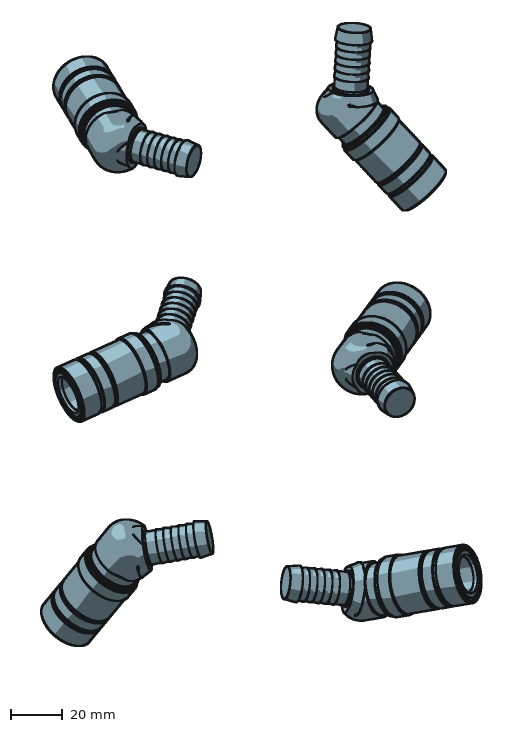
import cadquery as cq
import math

body_diameter = 23.0
body_end = 35.35
face_chamfer = 0.4

collar_diameter = 24.0
collar_start = 28.1
collar_end = 33.8
collar_chamfer = 0.35

groove_diameter = 22.4
groove_spans = [(8.05, 9.7), (14.25, 15.6)]
groove_wall_slope = 0.3

face_groove_inner_diameter = 18.8
face_groove_outer_diameter = 21.0
face_groove_depth = 1.1
rim_bevel = 0.3
bore_diameter = 14.1
bore_mouth_diameter = 15.25
bore_mouth_length = 1.45
bore_depth = 21.6

neck_diameter = 20.5
elbow_diameter = 22.25
elbow_start = 39.6
elbow_end = 54.85
elbow_end_radius = 7.05
flat_height = 21.0
flat_edge_radius = 2.9

branch_angle = 45.0
branch_origin_x = 43.7
flange_diameter = 17.5
flange_position = 8.7
flange_half_angle = 28.0
flange_depth = 3.95
step_diameter = 14.1
step_height = 0.8
step_edge_radius = 0.4
hose_diameter = 13.0
branch_length = 33.7

barb_diameter = 13.5
barb_pitch = 3.0
barb_count = 5
barb_length = 1.5
end_barb_diameter = 14.5
end_barb_length = 4.9
end_diameter = 12.9
end_chamfer = 0.15


def cylinder_x(diameter, start, end):
    """Cylinder centred on the X axis between two X positions."""
    return cq.Workplane("YZ", origin=(start, 0, 0)).circle(diameter / 2).extrude(end - start)


def cone_x(start_diameter, end_diameter, start, length):
    """Solid cone frustum centred on the X axis."""
    cone = cq.Solid.makeCone(
        start_diameter / 2, end_diameter / 2, length, cq.Vector(start, 0, 0), cq.Vector(1, 0, 0)
    )
    return cq.Workplane(cone)


def make_groove(start, end):
    """Ring cutter with sloped walls for a shallow groove in the body."""
    outer = body_diameter / 2
    inner = groove_diameter / 2
    profile = [
        (start, outer),
        (start + groove_wall_slope, inner),
        (end - groove_wall_slope, inner),
        (end, outer),
    ]
    return cq.Workplane("XY").polyline(profile).close().revolve(360, (0, 0, 0), (1, 0, 0))


def make_body():
    body = cylinder_x(body_diameter, 0, body_end).faces("<X or >X").chamfer(face_chamfer)
    for start, end in groove_spans:
        body = body.cut(make_groove(start, end))
    collar = cylinder_x(collar_diameter, collar_start, collar_end).edges().chamfer(collar_chamfer)
    return body.union(collar)


def cut_open_end(part):
    face_groove = cylinder_x(face_groove_outer_diameter, 0, face_groove_depth)
    bevel_diameter = face_groove_outer_diameter + 2 * rim_bevel
    face_groove = face_groove.union(cone_x(bevel_diameter, face_groove_outer_diameter, 0, rim_bevel))
    face_groove = face_groove.cut(cylinder_x(face_groove_inner_diameter, 0, face_groove_depth))
    part = part.cut(face_groove)
    part = part.cut(cylinder_x(bore_diameter, 0, bore_depth))
    return part.cut(cone_x(bore_mouth_diameter, bore_diameter, 0, bore_mouth_length))


def place_branch(shape):
    """Swing a shape built along X onto the branch axis."""
    turned = shape.rotate((0, 0, 0), (0, 0, 1), branch_angle)
    return turned.translate((branch_origin_x, 0, 0))


def make_elbow():
    """Round-ended housing with flats above and below and a conical branch flange."""
    housing = cylinder_x(elbow_diameter, elbow_start, elbow_end)
    housing = housing.faces(">X").edges().fillet(elbow_end_radius)
    slab = cq.Workplane("XY").box(4 * elbow_end, 2 * elbow_diameter, flat_height)
    housing = housing.intersect(slab)
    housing = housing.faces("<Z or >Z").edges("not <X").fillet(flat_edge_radius)

    cone_base = flange_diameter + 2 * flange_depth * math.tan(math.radians(flange_half_angle))
    flange = cone_x(cone_base, flange_diameter, flange_position - flange_depth, flange_depth)
    behind_elbow = cq.Workplane("XY").box(elbow_start, 2 * elbow_diameter, 2 * elbow_diameter)
    behind_elbow = behind_elbow.translate((elbow_start / 2, 0, 0))
    flange = place_branch(flange).intersect(slab).cut(behind_elbow)
    beyond_flange = place_branch(cylinder_x(2 * elbow_diameter, flange_position, branch_length))
    return housing.cut(beyond_flange).union(flange)


def make_branch():
    """Hose spigot with small barbs and one large barb at its tip."""
    end_barb_start = branch_length - end_barb_length
    branch = cylinder_x(hose_diameter, 0, end_barb_start)
    step = cylinder_x(step_diameter, 0, flange_position + step_height)
    branch = branch.union(step.faces(">X").edges().fillet(step_edge_radius))
    for index in range(1, barb_count + 1):
        barb_start = end_barb_start - index * barb_pitch
        branch = branch.union(cone_x(barb_diameter, hose_diameter, barb_start, barb_length))
    tip = cone_x(end_barb_diameter, end_diameter, end_barb_start, end_barb_length)
    tip = tip.faces(">X").chamfer(end_chamfer)
    return place_branch(branch.union(tip))


neck = cylinder_x(neck_diameter, body_end, elbow_start)
outside = make_body().union(neck).union(make_elbow()).union(make_branch())
result = cut_open_end(outside)